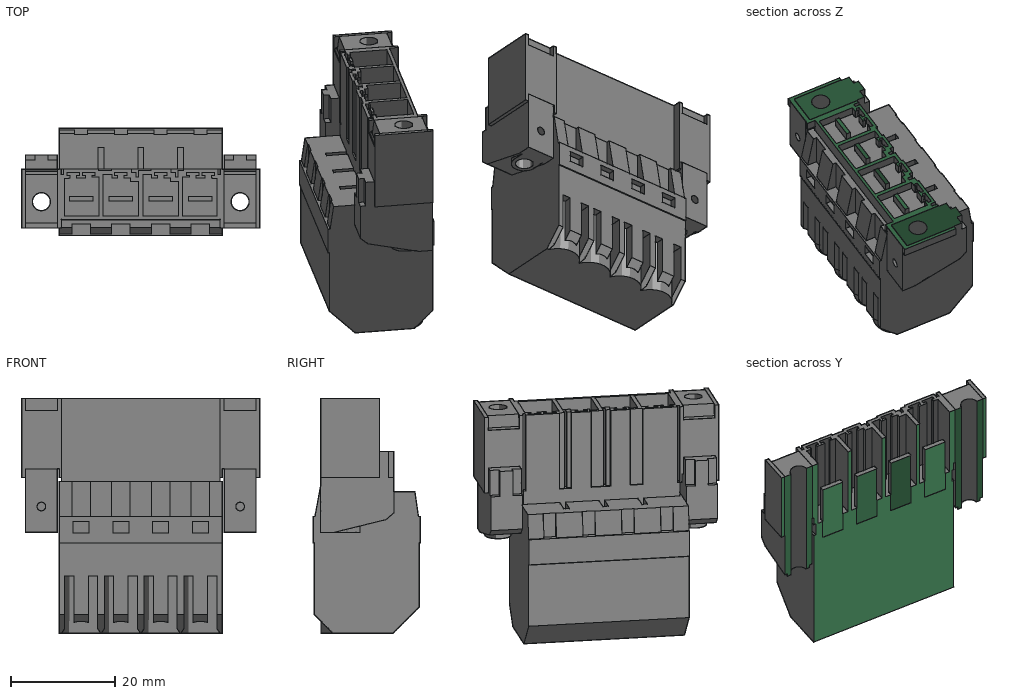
import cadquery as cq

pitch = 7.62
pole_count = 4
total_height = 45.01
flange_spacing = 5 * pitch
flange_width = pitch
pole_centers = [(i - (pole_count - 1) / 2) * pitch for i in range(pole_count)]
divider_centers = [(i - pole_count / 2) * pitch for i in range(1, pole_count)]
sides = (-1, 1)

block_half_width = 15.66
block_back = 14.1
block_front = -6.5
band_inset = 0.2
band_bottom = 17.35
band_top = 22.42
front_shelf = 29.11
back_shelf = 27.15
front_shelf_edge = -4.9
front_taper_foot = -6.15
back_shelf_edge = 13.05
back_taper_foot = 13.73
front_bevel = 3.6
back_bevel = 5.05

front_notch_width = 3.5
front_notch_wall = -4.23
back_notch_width = 2.45
back_notch_wall = 12.87
window_width = 3.1
window_bottom = 19.2
window_height = 2.2
window_depth = 1.2
slit_width = 1.1
slit_back = 10.35
slit_depth = 3.0

funnel_radius = 4.2
funnel_axis = -0.79
funnel_slot_outer = 3.15
funnel_slot_inner = 1.4
funnel_slot_top = 10.95

shroud_back = 6.26
shroud_front = -3.37
seam_width = 0.15
seam_depth = 1.0
shroud_half_width = (flange_spacing - flange_width) / 2
flange_height = 15.15
flange_bottom = total_height - flange_height
chamber_floor = flange_bottom
divider_width = 0.82
end_chamber_side = 14.66
chamber_front = -2.73
chamber_back = 4.57

head_width = 2.4
head_front = 5.06
head_back = 5.6
neck_width = 1.25
end_groove_offset = 1.5
end_step_width = 0.95
end_step_outer = 4.48
end_step_inner = 4.76
end_step_inner_width = 1.4
corner_pocket_edge = -1.72
corner_pocket_back = 5.23
corner_block_edge = 1.88
corner_block_front = 3.89
back_recess_front = 5.94
back_recess_edge = -1.8
last_recess_edge = -3.23
notch_start = 2.03
notch_middle = 2.88
notch_end = 3.37
notch_shallow = 5.6
notch_deep = 4.76
end_slit_width = 0.5
end_slit_outer = 15.3
end_slit_front = 5.23

flange_front = -5.06
insert_width = 6.1
front_wall = 1.0
back_wall = 0.5
back_wall_bevel = 0.34
ledge_drop = 2.3
leg_drop = 13.5
front_wall_bottom = total_height - leg_drop
tab_top = 34.86

insert_top_back = 5.23
insert_slope_drop = 4.2
tab_back = 9.0
tab_corner_depth = 1.05
tab_tongue_width = 2.53
leg_bottom = 19.36
leg_back_bottom = 23.1
leg_bevel_end = (7.53, 21.8)
leg_flat_back = -2.4
screw_hole_diameter = 3.4
screw_boss_radius = 2.5
cross_hole_diameter = 1.65
cross_hole_height = 24.3

blade_width = 4.5
blade_thickness = 0.85
blade_center = 0.6
blade_root = 4.0
blade_length = 8.0


def box(x0, x1, y0, y1, z0, z1):
    """Box between opposite corners; each pair may come in either order."""
    return (
        cq.Workplane("XY")
        .box(abs(x1 - x0), abs(y1 - y0), abs(z1 - z0))
        .translate(((x0 + x1) / 2, (y0 + y1) / 2, (z0 + z1) / 2))
    )


def centered_box(x, width, y0, y1, z0, z1):
    """Box of a given width along X, centered on `x`."""
    return box(x - width / 2, x + width / 2, y0, y1, z0, z1)


def side_profile(points, center, width):
    """Outline in the YZ plane, extruded along X about `center`."""
    start = center - width / 2
    return cq.Workplane("YZ", origin=(start, 0, 0)).polyline(points).close().extrude(width)


def make_block():
    """Lower block with its latch band, tapered shoulders and bevelled foot."""
    front = block_front + band_inset
    back = block_back - band_inset
    outline = [
        (front + front_bevel, 0),
        (front, front_bevel),
        (front, band_bottom),
        (block_front, band_bottom),
        (block_front, band_top),
        (front_taper_foot, band_top),
        (front_shelf_edge, front_shelf),
        (shroud_front, front_shelf),
        (shroud_front, back_shelf),
        (back_shelf_edge, back_shelf),
        (back_taper_foot, band_top),
        (block_back, band_top),
        (block_back, band_bottom),
        (back, band_bottom),
        (back, back_bevel),
        (back - back_bevel, 0),
    ]
    return side_profile(outline, 0, 2 * block_half_width)


def cut_latches(body):
    """Shoulder notches, front windows and the slits in the back shelf."""
    for x in pole_centers:
        front_notch = centered_box(x, front_notch_width, block_front, front_notch_wall, band_top, front_shelf)
        back_notch = centered_box(x, back_notch_width, back_notch_wall, block_back, band_top, back_shelf)
        body = body.cut(front_notch).cut(back_notch)
        window_end = block_front + window_depth
        window_top = window_bottom + window_height
        body = body.cut(centered_box(x, window_width, block_front, window_end, window_bottom, window_top))
    for x in divider_centers:
        slit_floor = back_shelf - slit_depth
        body = body.cut(centered_box(x, slit_width, shroud_back, slit_back, slit_floor, back_shelf))
    return body


def shape_funnels(body):
    """Round wire funnels that stand out of the front bevel and show through paired slots."""
    for x in pole_centers:
        for side in sides:
            slot_outer = x + side * funnel_slot_outer
            slot_inner = x + side * funnel_slot_inner
            body = body.cut(box(slot_outer, slot_inner, block_front, funnel_axis, 0, funnel_slot_top))
    for x in pole_centers:
        funnel = cq.Workplane("XY").center(x, funnel_axis).circle(funnel_radius).extrude(funnel_slot_top)
        body = body.union(funnel)
    return body


def make_shroud():
    return box(-shroud_half_width, shroud_half_width, shroud_front, shroud_back, band_top, total_height)


def cut_seam(body):
    """Narrow seam between the shroud front and the front shelf."""
    return body.cut(
        box(
            -shroud_half_width,
            shroud_half_width,
            shroud_front - seam_width,
            shroud_front,
            front_shelf - seam_depth,
            front_shelf,
        )
    )


def upright(x0, x1, y0, y1):
    """Cutter from the chamber floor to the top of the housing."""
    return box(x0, x1, y0, y1, chamber_floor, total_height)


def coding_groove(x):
    """T-shaped groove in the back wall, open to the chamber."""
    neck = upright(x - neck_width / 2, x + neck_width / 2, chamber_front, head_front)
    head = upright(x - head_width / 2, x + head_width / 2, head_front, head_back)
    return neck.union(head)


def end_chamber(x, side):
    """Outermost chamber on the given side, with two coding grooves."""
    outer = side * end_chamber_side
    inner = x - side * (pitch - divider_width) / 2
    outer_step = outer - side * end_step_width
    inner_step = inner + side * end_step_inner_width
    chamber = upright(outer, outer_step, chamber_front, end_step_outer)
    chamber = chamber.union(upright(outer_step, inner_step, chamber_front, chamber_back))
    chamber = chamber.union(upright(inner_step, inner, chamber_front, end_step_inner))
    for offset in (-end_groove_offset, end_groove_offset):
        chamber = chamber.union(coding_groove(x + offset))
    return chamber


def middle_chamber(x):
    """Inner chamber with one coding groove, a corner pocket and a corner block."""
    half = (pitch - divider_width) / 2
    pocket_edge = x + corner_pocket_edge
    block_edge = x + corner_block_edge
    chamber = upright(x - half, pocket_edge, chamber_front, corner_pocket_back)
    chamber = chamber.union(upright(pocket_edge, block_edge, chamber_front, chamber_back))
    chamber = chamber.union(upright(block_edge, x + half, chamber_front, corner_block_front))
    return chamber.union(coding_groove(x))


def cut_back_relief(body):
    """Shallow recesses, stepped notches and end slits in the outside of the back wall."""
    middle_poles = pole_centers[1:-1]
    recess_ends = [x + back_recess_edge for x in middle_poles] + [pole_centers[-1] + last_recess_edge]
    for previous_pole, recess_end in zip(pole_centers, recess_ends):
        body = body.cut(upright(previous_pole + notch_end, recess_end, back_recess_front, shroud_back))
    for x in middle_poles:
        body = body.cut(upright(x + notch_start, x + notch_middle, notch_shallow, shroud_back))
        body = body.cut(upright(x + notch_middle, x + notch_end, notch_deep, shroud_back))
    for side in sides:
        outer = side * end_slit_outer
        body = body.cut(upright(outer, outer - side * end_slit_width, end_slit_front, shroud_back))
    return body


def cut_chambers(body):
    for x in pole_centers[1:-1]:
        body = body.cut(middle_chamber(x))
    body = body.cut(end_chamber(pole_centers[0], -1))
    return body.cut(end_chamber(pole_centers[-1], 1))


def make_flange_box(side):
    """Box round one flange insert: two side plates joined by low front and back walls."""
    center = side * flange_spacing / 2
    half_insert = insert_width / 2
    left = center - half_insert
    right = center + half_insert
    ledge = total_height - ledge_drop
    front_inside = flange_front + front_wall
    back_inside = shroud_back - back_wall

    shell = centered_box(center, flange_width, flange_front, shroud_back, flange_bottom, total_height)
    shell = shell.cut(box(left, right, front_inside, shroud_back, flange_bottom, total_height))
    shell = shell.cut(box(left, right, flange_front, front_inside, ledge, total_height))
    shell = shell.cut(box(left, right, flange_front, front_inside, flange_bottom, front_wall_bottom))

    bevel_end = back_inside + back_wall_bevel
    bevel_bottom = ledge - back_wall_bevel
    wall_outline = [
        (back_inside, tab_top),
        (back_inside, ledge),
        (bevel_end, bevel_bottom),
        (shroud_back, bevel_bottom),
        (shroud_back, tab_top),
    ]
    shell = shell.union(side_profile(wall_outline, center, insert_width))

    clearance_end = side * block_half_width
    insert_side = center - side * half_insert
    return shell.cut(
        box(insert_side, clearance_end, flange_front, shroud_back, flange_bottom, front_wall_bottom)
    )


def make_flange_insert(side):
    """Screw block with a sloped back, filling the flange box, with a leg below and a tongue behind."""
    center = side * flange_spacing / 2
    front_inside = flange_front + front_wall
    back_inside = shroud_back - back_wall
    outline = [
        (front_inside, total_height),
        (insert_top_back, total_height),
        (back_inside, total_height - insert_slope_drop),
        (back_inside, tab_top),
        (tab_back, tab_top),
        (tab_back, leg_back_bottom),
        leg_bevel_end,
        (leg_flat_back, leg_bottom),
        (flange_front, leg_bottom),
        (flange_front, front_wall_bottom),
        (front_inside, front_wall_bottom),
    ]
    insert = side_profile(outline, center, insert_width)

    for corner in sides:
        tongue_side = center + corner * tab_tongue_width / 2
        corner_side = center + corner * insert_width / 2
        insert = insert.cut(
            box(tongue_side, corner_side, tab_back - tab_corner_depth, tab_back, flange_bottom, tab_top)
        )

    boss_top = leg_back_bottom
    boss = cq.Workplane("XY", origin=(center, 0, leg_bottom)).circle(screw_boss_radius)
    boss = boss.extrude(boss_top - leg_bottom)
    boss_width = 2 * screw_boss_radius
    insert = insert.union(boss)
    insert = insert.union(centered_box(center, boss_width, flange_front, 0, leg_bottom, boss_top))

    screw_hole = cq.Workplane("XY", origin=(center, 0, leg_bottom)).circle(screw_hole_diameter / 2)
    insert = insert.cut(screw_hole.extrude(total_height - leg_bottom))
    cross_hole = cq.Workplane("XZ", origin=(center, 0, cross_hole_height)).circle(cross_hole_diameter / 2)
    return insert.cut(cross_hole.extrude(-flange_front))


def make_contact(x):
    """Flat contact blade, rooted in the floor of its chamber."""
    half_thickness = blade_thickness / 2
    back = blade_center + half_thickness
    front = blade_center - half_thickness
    root = chamber_floor - blade_root
    tip = chamber_floor + blade_length
    return centered_box(x, blade_width, front, back, root, tip)


contacts = [make_contact(x) for x in pole_centers]
flange_inserts = [make_flange_insert(side) for side in sides]

housing = shape_funnels(cut_latches(make_block()))
housing = cut_seam(housing.union(make_shroud()))
for flange_side in sides:
    housing = housing.union(make_flange_box(flange_side))
housing = cut_back_relief(cut_chambers(housing))
for contact in contacts:
    housing = housing.cut(contact)

bodies = [housing, *flange_inserts, *contacts]
result = cq.Compound.makeCompound([body.solids().val() for body in bodies])